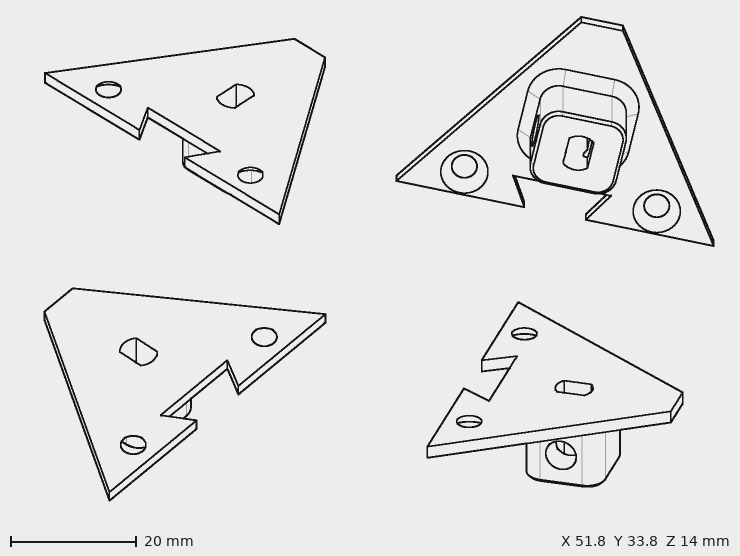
import cadquery as cq

plate_width = 51.8
plate_depth = 33.8
plate_thickness = 2.0
tip_width = 6.8

notch_mouth = 10.0
notch_root = 16.0
notch_depth = 5.0

mount_hole_top_diameter = 4.0
mount_hole_spacing = 31.4
mount_hole_from_front = 4.0
mount_hole_bottom_diameter = 7.5

total_height = 14.0
boss_width = 14.0
boss_depth = 12.95
boss_corner_radius = 3.0
boss_center_y = -0.25
flare = 2.0
bottom_chamfer = 0.5

bore_diameter = 6.0
bore_flat_width = 4.0
bore_center_y = -0.1
cross_hole_diameter = 5.0
cross_hole_from_bottom = 5.4

front_y = -plate_depth / 2
back_y = plate_depth / 2


def make_plate():
    """Truncated triangle with a dovetail notch and two conical mounting holes."""
    notch_y = front_y + notch_depth
    right_half = [
        (notch_root / 2, notch_y),
        (notch_mouth / 2, front_y),
        (plate_width / 2, front_y),
        (tip_width / 2, back_y),
    ]
    left_half = [(-x, y) for x, y in reversed(right_half)]
    hole_y = front_y + mount_hole_from_front
    hole_x = mount_hole_spacing / 2
    body = cq.Workplane("XY").polyline(right_half + left_half).close().extrude(-plate_thickness)
    for x in (-hole_x, hole_x):
        cone = (
            cq.Workplane("XY", origin=(x, hole_y, 0))
            .circle(mount_hole_top_diameter / 2)
            .workplane(offset=-plate_thickness)
            .circle(mount_hole_bottom_diameter / 2)
            .loft(ruled=True)
        )
        body = body.cut(cone)
    return body


def rounded_block(width, depth, corner_radius, bottom_z, height):
    """Block with rounded vertical edges, centred on the boss axis."""
    return (
        cq.Workplane("XY", origin=(0, boss_center_y, bottom_z))
        .rect(width, depth)
        .extrude(height)
        .edges("|Z")
        .fillet(corner_radius)
    )


def make_boss():
    """Rounded block flaring at 45 degrees where it meets the plate."""
    boss = rounded_block(
        boss_width, boss_depth, boss_corner_radius, -total_height, total_height - plate_thickness
    )
    boss = boss.faces("<Z").chamfer(bottom_chamfer)
    collar = rounded_block(
        boss_width + 2 * flare,
        boss_depth + 2 * flare,
        boss_corner_radius + flare,
        -plate_thickness - flare,
        flare + plate_thickness / 2,
    )
    collar = collar.faces("<Z").chamfer(flare)
    return boss.union(collar)


def make_bore():
    """Vertical through bore: a cylinder trimmed by two flats."""
    base = cq.Workplane("XY", origin=(0, bore_center_y, -total_height))
    cylinder = base.circle(bore_diameter / 2).extrude(total_height)
    flats = base.rect(bore_flat_width, bore_diameter).extrude(total_height)
    return cylinder.intersect(flats)


def make_cross_hole():
    """Hole along X through both sides of the boss."""
    center = (0, boss_center_y, cross_hole_from_bottom - total_height)
    return (
        cq.Workplane("YZ", origin=center)
        .circle(cross_hole_diameter / 2)
        .extrude(boss_width / 2, both=True)
    )


result = make_plate().union(make_boss()).cut(make_bore()).cut(make_cross_hole())